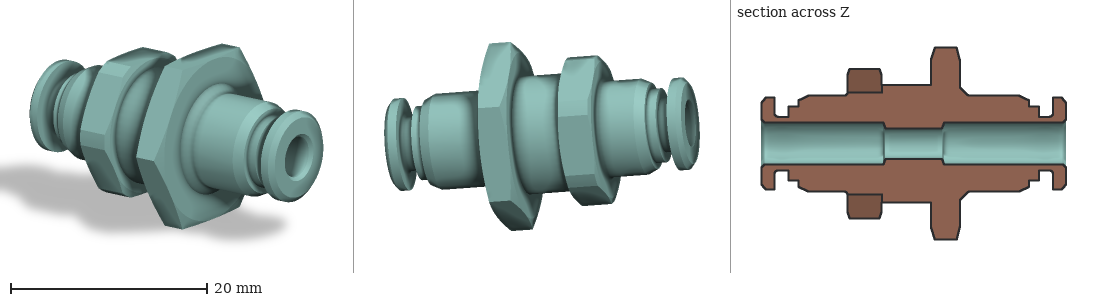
import cadquery as cq
import math

length = 31.1

flange_radius = 4.73
flange_width = 1.37
flange_chamfer_length = 0.47
flange_chamfer_height = 0.55
neck_radius = 2.77
neck_end = 2.75
neck_fillet = 0.35
collar_radius = 3.8
collar_end = 3.75

body_radius = 4.9
nose_radius = 4.42
nose_end = 4.8

bore_radius = 1.52
socket_radius = 2.1
socket_depth = 12.45
socket_chamfer = 0.35
socket_point_angle = 140.0

hex_across_flats = 17.0
hex_start = 17.25
hex_width = 3.02
hex_front_crown = 0.45
hex_back_crown = 0.35
thread_radius = 6.03
back_cone_height = 0.85
back_cone_fillet = 0.37

nut_across_flats = 14.0
nut_start = 8.77
nut_width = 3.5
nut_corner_radius = 7.65
nut_crown = 0.22
nut_bore_fillet = 0.3
nut_bore_radius = body_radius + nut_bore_fillet

nut_end = nut_start + nut_width
hex_end = hex_start + hex_width
hex_corner_radius = hex_across_flats / math.sqrt(3)
diagonal = math.sqrt(0.5)


def revolve_about_x(profile):
    """Turn a closed profile, drawn as (x, radius), about the X axis."""
    return profile.close().revolve(360, (0, 0, 0), (1, 0, 0))


def crowned_hexagon(start, width, across_flats, corner_radius, front_crown, back_crown):
    """Hexagonal prism along X with corners on +Y and -Y and conical crowns on both faces."""
    end = start + width
    flat_radius = across_flats / 2
    prism = (
        cq.Workplane("YZ", origin=(start, 0, 0))
        .polygon(6, across_flats, circumscribed=True)
        .extrude(width)
        .rotate((0, 0, 0), (1, 0, 0), 90)
    )
    envelope = revolve_about_x(
        cq.Workplane("XY")
        .moveTo(start, 0)
        .lineTo(start, flat_radius)
        .lineTo(start + front_crown, corner_radius)
        .lineTo(end - back_crown, corner_radius)
        .lineTo(end, flat_radius)
        .lineTo(end, 0)
    )
    return prism.intersect(envelope)


def make_end():
    """Solid release sleeve and nose at the -X end, up to the plain body cylinder."""
    return revolve_about_x(
        cq.Workplane("XY")
        .moveTo(0, 0)
        .lineTo(0, flange_radius - flange_chamfer_height)
        .lineTo(flange_chamfer_length, flange_radius)
        .lineTo(flange_width, flange_radius)
        .lineTo(flange_width, neck_radius + neck_fillet)
        .radiusArc((flange_width + neck_fillet, neck_radius), -neck_fillet)
        .lineTo(neck_end, neck_radius)
        .lineTo(neck_end, collar_radius)
        .lineTo(collar_end, collar_radius)
        .lineTo(collar_end, nose_radius)
        .lineTo(nose_end, body_radius)
        .lineTo(nose_end, 0)
    )


def make_middle():
    """Body between the two noses: nut seat, thread and the cone behind the hexagon."""
    cone_fillet_top = body_radius + back_cone_fillet * (1 - diagonal)
    cone_end = hex_end + back_cone_height - back_cone_fillet * (1 - diagonal)
    body_restart = cone_end + back_cone_fillet * diagonal
    return revolve_about_x(
        cq.Workplane("XY")
        .moveTo(nose_end, 0)
        .lineTo(nose_end, body_radius)
        .lineTo(nut_start - nut_bore_fillet, body_radius)
        .radiusArc((nut_start, nut_bore_radius), -nut_bore_fillet)
        .lineTo(nut_end, nut_bore_radius)
        .lineTo(nut_end, thread_radius)
        .lineTo(hex_end, thread_radius)
        .lineTo(hex_end, body_radius + back_cone_height)
        .lineTo(cone_end, cone_fillet_top)
        .radiusArc((body_restart, body_radius), -back_cone_fillet)
        .lineTo(length - nose_end, body_radius)
        .lineTo(length - nose_end, 0)
    )


def make_socket():
    """Tube socket cut from the -X end face, chamfered at the mouth with a conical bottom."""
    point_length = (socket_radius - bore_radius) / math.tan(math.radians(socket_point_angle / 2))
    return revolve_about_x(
        cq.Workplane("XY")
        .moveTo(0, 0)
        .lineTo(0, socket_radius + socket_chamfer)
        .lineTo(socket_chamfer, socket_radius)
        .lineTo(socket_depth, socket_radius)
        .lineTo(socket_depth + point_length, bore_radius)
        .lineTo(socket_depth + point_length, 0)
    )


def at_both_ends(shape):
    """The shape together with its mirror image about the middle of the length."""
    return shape.union(shape.mirror("YZ", (length / 2, 0, 0)))


def make_fitting():
    hexagon = crowned_hexagon(
        hex_start, hex_width, hex_across_flats, hex_corner_radius, hex_front_crown, hex_back_crown
    )
    solid = make_middle().union(at_both_ends(make_end())).union(hexagon)
    bore = cq.Workplane("YZ").circle(bore_radius).extrude(length)
    return solid.cut(bore).cut(at_both_ends(make_socket()))


def make_nut():
    blank = crowned_hexagon(
        nut_start, nut_width, nut_across_flats, nut_corner_radius, nut_crown, nut_crown
    )
    hole = cq.Workplane("YZ", origin=(nut_start, 0, 0)).circle(nut_bore_radius).extrude(nut_width)
    return blank.cut(hole)


fitting = make_fitting()
locknut = make_nut()

result = cq.Compound.makeCompound([fitting.val(), locknut.val()])